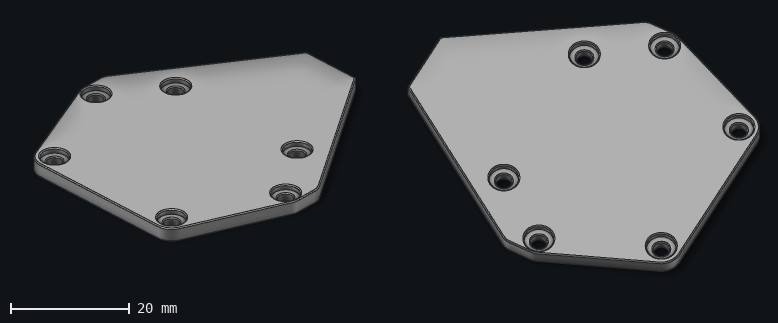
import cadquery as cq
import math

plate_width = 50.42
plate_length = 56.39
plate_thickness = 2.5
narrow_end_width = 11.45

side_corner_radius = 3.0
bottom_corner_radius = 3.5
side_corner_x = plate_width / 2 - side_corner_radius
upper_side_corner_y = -1.9
lower_side_corner_y = -5.85
bottom_corner_x = 13.7
bottom_corner_y = -plate_length / 2 + bottom_corner_radius

hole_diameter = 2.8
counterbore_diameter = 5.0
counterbore_depth = 1.0
upper_hole_x = 14.2
upper_hole_y = 5.2
hole_positions = [
    (upper_hole_x, upper_hole_y),
    (side_corner_x, lower_side_corner_y),
    (bottom_corner_x, bottom_corner_y),
]

edge_chamfer = 0.2


def point_on_circle(x, y, radius, angle):
    return (x + radius * math.cos(angle), y + radius * math.sin(angle))


def tangent_normal_angle(corner, next_corner):
    """Outward normal of the line touching two corner circles, passed counterclockwise."""
    x, y, radius = corner
    next_x, next_y, next_radius = next_corner
    distance = math.hypot(next_x - x, next_y - y)
    direction = math.atan2(next_y - y, next_x - x)
    return direction - math.acos((radius - next_radius) / distance)


def make_plate():
    """Plate bounded by tangent lines around its corner circles, with a chamfered upper rim."""
    right_corners = [
        (bottom_corner_x, bottom_corner_y, bottom_corner_radius),
        (side_corner_x, lower_side_corner_y, side_corner_radius),
        (side_corner_x, upper_side_corner_y, side_corner_radius),
        (narrow_end_width / 2, plate_length / 2, 0),
    ]
    left_corners = [(-x, y, radius) for x, y, radius in reversed(right_corners)]
    corners = right_corners + left_corners

    arrival = tangent_normal_angle(corners[-1], corners[0])
    outline = cq.Workplane("XY").moveTo(*point_on_circle(*corners[-1], arrival))
    following_corners = corners[1:] + corners[:1]
    for corner, next_corner in zip(corners, following_corners):
        radius = corner[2]
        departure = tangent_normal_angle(corner, next_corner)
        outline = outline.lineTo(*point_on_circle(*corner, arrival))
        if radius > 0:
            turn = (departure - arrival) % (2 * math.pi)
            middle = point_on_circle(*corner, arrival + turn / 2)
            outline = outline.threePointArc(middle, point_on_circle(*corner, departure))
        arrival = departure

    return outline.close().extrude(plate_thickness).faces(">Z").edges().chamfer(edge_chamfer)


def make_hole_cutter():
    """Revolved cutter for one through hole with a counterbore and two chamfered steps."""
    hole_radius = hole_diameter / 2
    counterbore_radius = counterbore_diameter / 2
    floor_z = plate_thickness - counterbore_depth
    profile = [
        (0, 0),
        (hole_radius, 0),
        (hole_radius, floor_z - edge_chamfer),
        (hole_radius + edge_chamfer, floor_z),
        (counterbore_radius, floor_z),
        (counterbore_radius, plate_thickness - edge_chamfer),
        (counterbore_radius + edge_chamfer, plate_thickness),
        (0, plate_thickness),
    ]
    return cq.Workplane("XZ").polyline(profile).close().revolve(360, (0, 0), (0, 1))


result = make_plate()
hole_cutter = make_hole_cutter()
for hole_x, hole_y in hole_positions:
    for side in (-1, 1):
        result = result.cut(hole_cutter.translate((side * hole_x, hole_y, 0)))